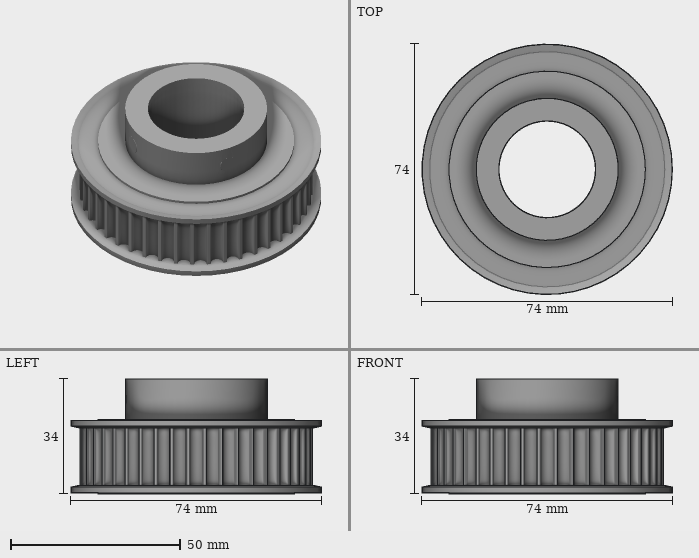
import cadquery as cq
import math


flange_diameter = 74.0
boss_diameter = 58.0
hub_diameter = 41.95
bore_diameter = 28.5
body_width = 22.0
hub_length = 12.0
total_height = body_width + hub_length

tooth_count = 44
tip_diameter = 68.9
tooth_width = 17.0
groove_radius = 1.85
groove_depth = 2.1
tip_round = 0.2
tip_radius = tip_diameter / 2
tooth_bottom = (body_width - tooth_width) / 2
tooth_top = tooth_bottom + tooth_width

flange_thickness = 1.7
flange_flat_diameter = 69.5
rim_bend = 0.5

screw_diameter = 5.0
screw_length = 4.7
screw_height = body_width + hub_length / 2
screw_angles = (0, 90)


def disc(diameter, bottom, top):
    """Solid cylinder about Z between two heights."""
    return cq.Workplane("XY").workplane(offset=bottom).circle(diameter / 2).extrude(top - bottom)


def radial_cylinder(diameter, start_radius, length, angle):
    """Cylinder lying along a radius of the hub at the set screw height."""
    start_plane = cq.Workplane("YZ", origin=(start_radius, 0, screw_height))
    cylinder = start_plane.circle(diameter / 2).extrude(length)
    return cylinder.rotate((0, 0, 0), (0, 0, 1), angle)


def make_groove(angle):
    """U-shaped cutter for one tooth space, open through the tooth tips."""
    arc_center = tip_radius - groove_depth + groove_radius
    mouth = flange_diameter / 2
    groove = (
        cq.Workplane("XY")
        .workplane(offset=tooth_bottom)
        .moveTo(mouth, -groove_radius)
        .lineTo(arc_center, -groove_radius)
        .threePointArc((tip_radius - groove_depth, 0), (arc_center, groove_radius))
        .lineTo(mouth, groove_radius)
        .close()
        .extrude(tooth_width)
    )
    return groove.rotate((0, 0, 0), (0, 0, 1), angle)


def make_toothed_rim():
    """Ring of teeth with rounded tooth tips."""
    rim = disc(tip_diameter, tooth_bottom, tooth_top)
    grooves = [make_groove(i * 360 / tooth_count).val() for i in range(tooth_count)]
    rim = rim.cut(cq.Workplane(cq.Compound.makeCompound(grooves)))
    corner_limit = tip_radius - tip_round
    upright_edges = rim.edges("|Z")
    corners = upright_edges.filter(lambda edge: math.hypot(edge.Center().x, edge.Center().y) > corner_limit)
    return corners.fillet(tip_round)


def make_pulley():
    """Toothed rim, flange seats, hub, bore and set screw holes as one solid."""
    pulley = make_toothed_rim()
    pulley = pulley.union(disc(boss_diameter, 0, body_width))
    pulley = pulley.union(disc(hub_diameter, 0, total_height))
    pulley = pulley.cut(disc(bore_diameter, 0, total_height))
    for angle in screw_angles:
        pulley = pulley.cut(radial_cylinder(screw_diameter, 0, flange_diameter / 2, angle))
    return pulley


def make_flange(seat_height, outward):
    """Ring on the boss; outward is +1 for the upper flange and -1 for the lower one."""
    inner = boss_diameter / 2
    flat = flange_flat_diameter / 2
    outer = flange_diameter / 2
    outer_face = seat_height + outward * flange_thickness
    bend = outward * rim_bend
    return (
        cq.Workplane("XZ")
        .moveTo(inner, seat_height)
        .lineTo(flat, seat_height)
        .lineTo(outer, seat_height + bend)
        .lineTo(outer, outer_face + bend)
        .lineTo(flat, outer_face)
        .lineTo(inner, outer_face)
        .close()
        .revolve(360, (0, 0, 0), (0, 1, 0))
    )


def make_set_screw(angle):
    """Plain set screw whose outer end reaches the hub surface."""
    tip_distance = hub_diameter / 2 - screw_length
    return radial_cylinder(screw_diameter, tip_distance, screw_length, angle)


pulley = make_pulley()
upper_flange = make_flange(tooth_top, 1)
lower_flange = make_flange(tooth_bottom, -1)
set_screws = [make_set_screw(angle) for angle in screw_angles]

result = cq.Compound.makeCompound(
    [
        pulley.val(),
        upper_flange.val(),
        lower_flange.val(),
        *[screw.val() for screw in set_screws],
    ]
)